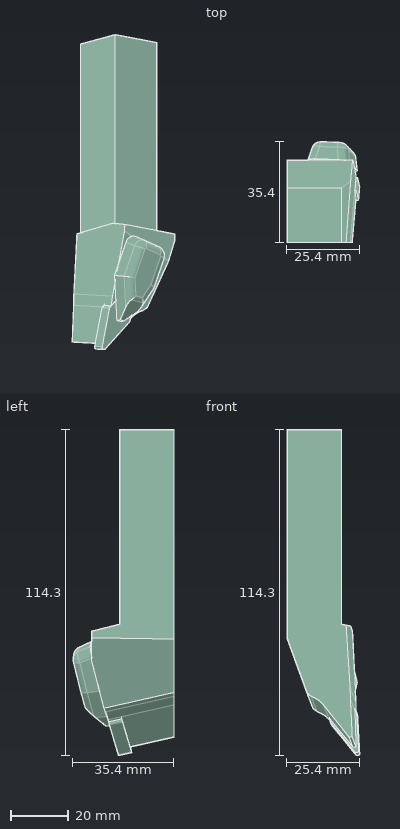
import cadquery as cq
import math

SHANK = 19.05
TOTAL_LENGTH = 114.3

HEAD_DEPTH = 28.9
LEDGE_HEIGHT = 46.1
REAR_LEDGE_SLOPE = 0.25
SIDE_LEDGE_SLOPE = 0.2

TILT = cq.Vector(0.088, 1.0, -0.226)
NORMAL = TILT.normalized()

LEFT_FLANK_TOP_Z = 40.85
LEFT_FLANK_SLOPE = 2.75
LEFT_FLANK_WIDTH = 6.8
LEFT_FLANK_END = (LEFT_FLANK_WIDTH, LEFT_FLANK_TOP_Z - LEFT_FLANK_WIDTH * LEFT_FLANK_SLOPE)
RELIEF_START = (8.4, 20.8)
RELIEF_MID = (10.7, 19.6)
RELIEF_END = (12.7, 17.8)
NOSE_LEFT = (21.6, 6.6)
NOSE_RIGHT = (22.8, 6.45)
STEP_LOWER = (22.15, 19.8)
STEP_UPPER = (22.05, 23.9)
RIGHT_FLANK_TOP = (20.62, 46.0)
FLANK_OVERRUN = 10.0

INSERT_TIP = cq.Vector(25.57, 19.0, -1.63)
INSERT_ANGLE = 35.0
INSERT_INSCRIBED_CIRCLE = 9.525
INSERT_EDGE = INSERT_INSCRIBED_CIRCLE / math.sin(math.radians(INSERT_ANGLE))
INSERT_THICKNESS = 4.76
NOSE_RADIUS = 0.8
RIGHT_EDGE_LEAN = 0.055

CLAMP_BACK_LEFT = (41.4, -16.9)
CLAMP_BACK_RIGHT = (43.6, -2.2)
CLAMP_RIGHT = (28.0, 0.5)
CLAMP_TIP_RIGHT = (12.8, -4.0)
CLAMP_TIP_LEFT = (12.8, -6.0)
CLAMP_LEFT = (26.0, -14.3)
CLAMP_LEFT_LOW = (16.5, -9.6)
CLAMP_HEIGHT = 7.08
CLAMP_TAPER = 11.0
CLAMP_CORNER_RADIUS = 3.4
CLAMP_EDGE_RADIUS = 3.0
CLAMP_SLOPE_START = 21.2
CLAMP_SLOPE_END = 12.2
CLAMP_TIP_HEIGHT = 1.0


def in_cutting_face(x, z):
    """Direction in the cutting face that has the given X and Z components."""
    return cq.Vector(x, -(TILT.x * x + TILT.z * z) / TILT.y, z)


def cutting_face(offset=0.0):
    """Workplane on the cutting face: local X up the right insert edge, local Y to the right."""
    up_edge = in_cutting_face(-RIGHT_EDGE_LEAN, 1.0)
    origin = INSERT_TIP + NORMAL * offset
    return cq.Workplane(cq.Plane(origin=origin, xDir=up_edge, normal=NORMAL))


def make_flank_prism():
    """Prism along the tilt whose sides are the flanks of the head."""
    high_left = (-FLANK_OVERRUN, LEFT_FLANK_TOP_Z + FLANK_OVERRUN * LEFT_FLANK_SLOPE)
    lean = (STEP_UPPER[0] - RIGHT_FLANK_TOP[0]) / (RIGHT_FLANK_TOP[1] - STEP_UPPER[1])
    high_right = (RIGHT_FLANK_TOP[0] - lean * (high_left[1] - RIGHT_FLANK_TOP[1]), high_left[1])
    outline = (
        cq.Workplane("XZ")
        .moveTo(*high_left)
        .lineTo(*LEFT_FLANK_END)
        .lineTo(*RELIEF_START)
        .threePointArc(RELIEF_MID, RELIEF_END)
        .lineTo(*NOSE_LEFT)
        .lineTo(*NOSE_RIGHT)
        .lineTo(*STEP_LOWER)
        .lineTo(*STEP_UPPER)
        .lineTo(*high_right)
        .close()
    )
    face = cq.Face.makeFromWires(outline.wire().val())
    return cq.Workplane(cq.Solid.extrudeLinear(face, TILT * (HEAD_DEPTH + FLANK_OVERRUN)))


def make_head():
    """Head bounded by sloped ledges on top, tilted flanks and the cutting face."""
    width = 2 * SHANK
    rear_drop = REAR_LEDGE_SLOPE * (HEAD_DEPTH - SHANK)
    side_profile = (
        cq.Workplane("YZ")
        .polyline([
            (0, -FLANK_OVERRUN),
            (HEAD_DEPTH, -FLANK_OVERRUN),
            (HEAD_DEPTH, LEDGE_HEIGHT - rear_drop),
            (SHANK, LEDGE_HEIGHT),
            (0, LEDGE_HEIGHT),
        ])
        .close()
        .extrude(width)
    )
    front_profile = (
        cq.Workplane("XZ")
        .polyline([
            (0, -FLANK_OVERRUN),
            (width, -FLANK_OVERRUN),
            (width, LEDGE_HEIGHT - SIDE_LEDGE_SLOPE * (width - SHANK)),
            (SHANK, LEDGE_HEIGHT),
            (0, LEDGE_HEIGHT),
        ])
        .close()
        .extrude(-HEAD_DEPTH)
    )
    cutter_size = 2 * TOTAL_LENGTH
    above_cutting_face = cutting_face().rect(cutter_size, cutter_size).extrude(HEAD_DEPTH)
    return side_profile.intersect(front_profile).intersect(make_flank_prism()).cut(above_cutting_face)


def make_clamp():
    """Tapered clamp with rounded back corners, a nose sloping down to the tip and a rounded top."""
    base = cutting_face()
    clamp = (
        base.polyline([
            CLAMP_BACK_LEFT,
            CLAMP_BACK_RIGHT,
            CLAMP_RIGHT,
            CLAMP_TIP_RIGHT,
            CLAMP_TIP_LEFT,
            CLAMP_LEFT_LOW,
            CLAMP_LEFT,
        ])
        .close()
        .extrude(CLAMP_HEIGHT, taper=CLAMP_TAPER)
    )
    for corner in (CLAMP_BACK_LEFT, CLAMP_BACK_RIGHT):
        middle = base.plane.toWorldCoords((*corner, CLAMP_HEIGHT / 2))
        corner_edge = clamp.edges(cq.selectors.NearestToPointSelector(middle))
        clamp = corner_edge.fillet(CLAMP_CORNER_RADIUS)

    side_plane = cq.Plane(origin=INSERT_TIP, xDir=base.plane.xDir, normal=-base.plane.yDir)
    nose_waste = (
        cq.Workplane(side_plane)
        .polyline([
            (CLAMP_SLOPE_START, CLAMP_HEIGHT),
            (CLAMP_SLOPE_END, CLAMP_TIP_HEIGHT),
            (CLAMP_SLOPE_END, CLAMP_HEIGHT),
        ])
        .close()
        .extrude(SHANK, both=True)
    )
    clamp = clamp.cut(nose_waste)
    top_edges = clamp.faces(cq.selectors.DirectionMinMaxSelector(NORMAL)).edges()
    return top_edges.fillet(CLAMP_EDGE_RADIUS)


def make_insert():
    """Rhombic insert lying flush with the cutting face."""
    angle = math.radians(INSERT_ANGLE)
    left = (INSERT_EDGE * math.cos(angle), -INSERT_EDGE * math.sin(angle))
    far = (INSERT_EDGE + left[0], left[1])
    return (
        cutting_face(-INSERT_THICKNESS)
        .polyline([(0, 0), (INSERT_EDGE, 0), far, left])
        .close()
        .extrude(INSERT_THICKNESS)
        .edges(cq.selectors.ParallelDirSelector(NORMAL))
        .fillet(NOSE_RADIUS)
    )


shank = cq.Workplane("XY").box(SHANK, SHANK, TOTAL_LENGTH - LEDGE_HEIGHT, centered=False)
shank = shank.translate((0, 0, LEDGE_HEIGHT))
insert = make_insert()
holder = make_head().union(shank).union(make_clamp()).cut(insert)

result = cq.Compound.makeCompound([*holder.solids().vals(), *insert.solids().vals()])